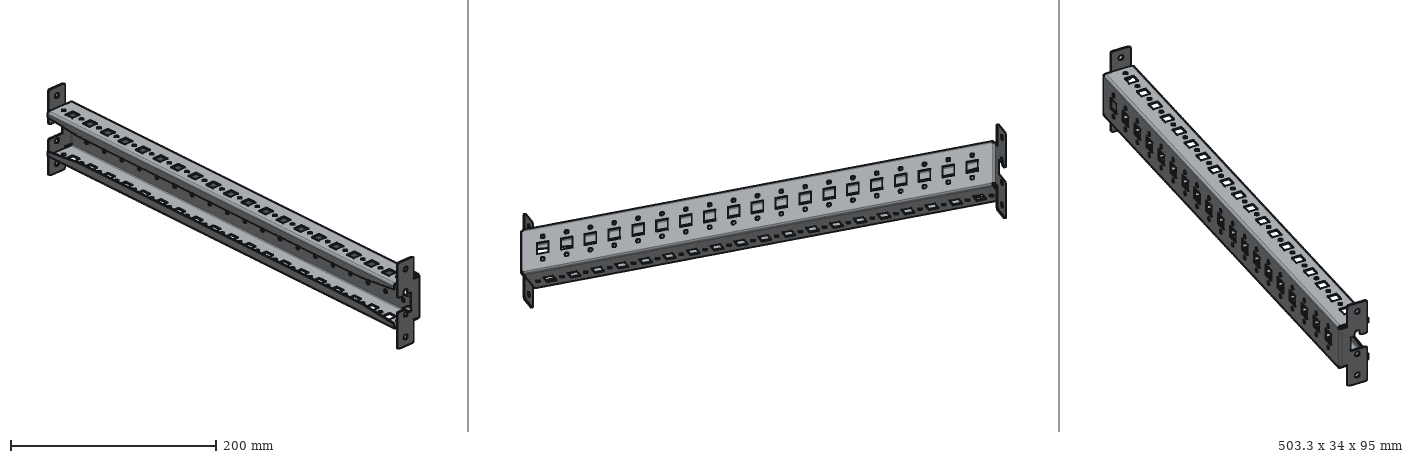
import cadquery as cq
import math


sheet = 1.5
bend_outer = 2.5
bend_inner = bend_outer - sheet

rail_length = 497.0
rail_depth = 34.0
rail_height = 50.0
web_face_y = rail_depth / 2
plate_face_x = rail_length / 2
flange_gap = 1.0
channel_length = rail_length - 2 * (sheet + flange_gap)

opening_height = 29.0
opening_end_height = 38.0
lip_taper_length = 45.0

pitch = 25.0
bay_count = 19
web_window = 12.3
flange_window = 10.0
small_hole = 4.2
web_hole_z = pitch / 2

plate_height = 95.0
plate_width = 22.0
plate_y = -3.0
plate_neck_height = rail_height - 2 * bend_outer
plate_corner = 2.5
mount_hole = 5.5
mount_hole_offsets = (pitch / 2, 3 * pitch / 2)

notch_top = 9.0
notch_sill = -7.0
notch_floor_y = 4.5

hook_width = 6.0
hook_reach = 6.29
hook_top = -3.2
hook_slope = math.radians(20)
hook_bend_inner = 0.5
hook_corner = 2.0


def block(x_range, y_range, z_range):
    """Axis-aligned box between the given limits."""
    size = [high - low for low, high in (x_range, y_range, z_range)]
    corner = cq.Vector(x_range[0], y_range[0], z_range[0])
    return cq.Workplane("XY").box(*size, centered=False).translate(corner)


def pitch_row(count):
    """X positions of a centred row at the perforation pitch."""
    return [(i - (count - 1) / 2) * pitch for i in range(count)]


def make_channel():
    """C section with rounded bends and lips that narrow towards both ends.

    The web stops short of the ends, where it bends into the end plates.
    """
    outer = cq.Workplane("XY").box(channel_length, rail_depth, rail_height)
    outer = outer.edges("|X").fillet(bend_outer)
    inner = cq.Workplane("XY").box(channel_length, rail_depth - 2 * sheet, rail_height - 2 * sheet)
    inner = inner.edges("|X").fillet(bend_inner)

    end_x = channel_length / 2
    taper_x = end_x - lip_taper_length
    half_end = opening_end_height / 2
    half_mid = opening_height / 2
    opening = (
        cq.Workplane("XZ", origin=(0, -web_face_y + bend_outer, 0))
        .moveTo(-end_x, half_end)
        .lineTo(-taper_x, half_mid)
        .lineTo(taper_x, half_mid)
        .lineTo(end_x, half_end)
        .lineTo(end_x, -half_end)
        .lineTo(taper_x, -half_mid)
        .lineTo(-taper_x, -half_mid)
        .lineTo(-end_x, -half_end)
        .close()
        .extrude(bend_outer)
    )
    bend_x = plate_face_x - bend_outer
    relief_y = (web_face_y - bend_outer, web_face_y)
    relief_z = (-plate_neck_height / 2, plate_neck_height / 2)
    channel = outer.cut(inner).cut(opening)
    channel = channel.cut(block((bend_x, plate_face_x), relief_y, relief_z))
    return channel.cut(block((-plate_face_x, -bend_x), relief_y, relief_z))


def web_cutters():
    """Square windows in the web, each with a small hole above and below."""
    bays = [(x, 0) for x in pitch_row(bay_count)]
    holes = [(x, side * web_hole_z) for x, _ in bays for side in (-1, 1)]
    plane = cq.Workplane("XZ", origin=(0, web_face_y, 0))
    windows = plane.pushPoints(bays).rect(web_window, web_window).extrude(2 * sheet)
    return windows.add(plane.pushPoints(holes).circle(small_hole / 2).extrude(2 * sheet)).combine()


def flange_cutters():
    """Square windows and intermediate small holes through both flanges."""
    bays = [(x, plate_y) for x in pitch_row(bay_count)]
    holes = [(x, plate_y) for x in pitch_row(bay_count + 1)]
    plane = cq.Workplane("XY", origin=(0, 0, -rail_height / 2))
    windows = plane.pushPoints(bays).rect(flange_window, flange_window).extrude(rail_height)
    return windows.add(plane.pushPoints(holes).circle(small_hole / 2).extrude(rail_height)).combine()


def make_end_plate():
    """End plate at +X: an upright plate whose neck bends into the web."""
    inner_x = plate_face_x - sheet
    neck_x = plate_face_x - 2 * bend_outer
    plate_back = plate_y + plate_width / 2
    plate_front = plate_y - plate_width / 2
    neck_z = (-plate_neck_height / 2, plate_neck_height / 2)
    x_range = (inner_x, plate_face_x)

    plate = block(x_range, (plate_front, plate_back), (-plate_height / 2, plate_height / 2))
    plate = plate.edges("|X").fillet(plate_corner)

    notch = block(x_range, (plate_front, notch_floor_y), (notch_sill, notch_top))
    slot = block(
        x_range,
        (plate_y - mount_hole / 2, plate_y + mount_hole / 2),
        (notch_top, mount_hole_offsets[0]),
    )
    plate = plate.cut(notch).cut(slot)

    mouth_box = cq.selectors.BoxSelector(
        (inner_x - sheet, plate_front - sheet, notch_sill - sheet),
        (plate_face_x + sheet, plate_y + mount_hole, notch_top + sheet),
    )
    plate = plate.edges("|X").edges(mouth_box).fillet(plate_corner)

    holes = [(plate_y, side * z) for z in mount_hole_offsets for side in (-1, 1)]
    drills = (
        cq.Workplane("YZ", origin=(inner_x, 0, 0))
        .pushPoints(holes)
        .circle(mount_hole / 2)
        .extrude(sheet)
    )

    neck = block((neck_x, plate_face_x), (notch_floor_y, web_face_y), neck_z)
    neck = neck.edges("|Z and >X and >Y").fillet(bend_outer)
    inside = block((neck_x, inner_x), (notch_floor_y, web_face_y - sheet), neck_z)
    inside = inside.edges("|Z and >X and >Y").fillet(bend_inner)

    return plate.cut(drills).union(neck.cut(inside))


def make_hook():
    """Tongue that rises from the notch sill and bends outwards and down."""
    inner_x = plate_face_x - sheet
    tip_x = plate_face_x + hook_reach
    tip_fall = (tip_x - inner_x) * math.tan(hook_slope)
    drop = sheet / math.cos(hook_slope)
    tip_bottom_x = tip_x - sheet * math.sin(hook_slope)
    underside_z = hook_top - sheet * math.tan(hook_slope) - drop
    tip_bottom_z = hook_top - tip_fall - sheet * math.cos(hook_slope)
    hook = (
        cq.Workplane("XZ", origin=(0, plate_y + hook_width / 2, 0))
        .moveTo(inner_x, notch_sill)
        .lineTo(inner_x, hook_top)
        .lineTo(tip_x, hook_top - tip_fall)
        .lineTo(tip_bottom_x, tip_bottom_z)
        .lineTo(plate_face_x, underside_z)
        .lineTo(plate_face_x, notch_sill)
        .close()
        .extrude(hook_width)
    )
    hook = hook.faces("<X").edges(">Z").fillet(sheet + hook_bend_inner)
    underside_bend = cq.selectors.NearestToPointSelector((plate_face_x, plate_y, underside_z))
    hook = hook.edges("|Y").edges(underside_bend).fillet(hook_bend_inner)
    return hook.faces(">X").edges("not |Y").fillet(hook_corner)


channel = make_channel().cut(web_cutters()).cut(flange_cutters())
end_plate = make_end_plate()
result = channel.union(end_plate).union(end_plate.mirror("YZ")).union(make_hook())